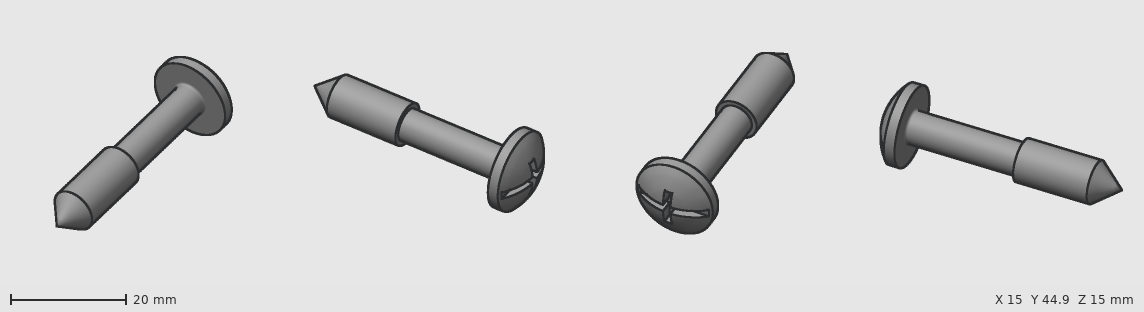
import cadquery as cq
import math

total_length = 44.95
head_diameter = 15.0
head_height = 5.0
rim_height = 2.02
neck_diameter = 6.1
thread_diameter = 8.0
thread_length = 14.0
tip_length = 5.0
neck_fillet = 0.45
slot_width = 1.5
slot_depth = 2.5
cross_slot_length = 7.2
dome_radius = 10.97

tip_y = -total_length / 2
crown_y = total_length / 2
thread_start_y = tip_y + tip_length
thread_end_y = thread_start_y + thread_length
head_seat_y = crown_y - head_height
rim_top_y = head_seat_y + rim_height

slot_corner_radius = slot_width / math.sqrt(2)
dome_center_y = crown_y - math.sqrt(dome_radius**2 - slot_corner_radius**2)
pole_y = dome_center_y + dome_radius


def turned_body():
    """Revolve the half profile of tip, thread, neck and domed head."""
    head_radius = head_diameter / 2
    neck_radius = neck_diameter / 2
    thread_radius = thread_diameter / 2
    profile = (
        cq.Workplane("XY")
        .moveTo(0, tip_y)
        .lineTo(thread_radius, thread_start_y)
        .lineTo(thread_radius, thread_end_y)
        .lineTo(neck_radius, thread_end_y)
        .lineTo(neck_radius, head_seat_y - neck_fillet)
        .radiusArc((neck_radius + neck_fillet, head_seat_y), neck_fillet)
        .lineTo(head_radius, head_seat_y)
        .lineTo(head_radius, rim_top_y)
        .radiusArc((0, pole_y), -dome_radius)
        .close()
    )
    return profile.revolve(360, (0, 0, 0), (0, 1, 0))


def slot(size_x, size_z):
    """Box that cuts a slot down from the crown, centred on the screw axis."""
    return cq.Workplane("XY").box(size_x, 2 * slot_depth, size_z).translate((0, crown_y, 0))


result = (
    turned_body()
    .cut(slot(head_diameter, slot_width))
    .cut(slot(slot_width, cross_slot_length))
)